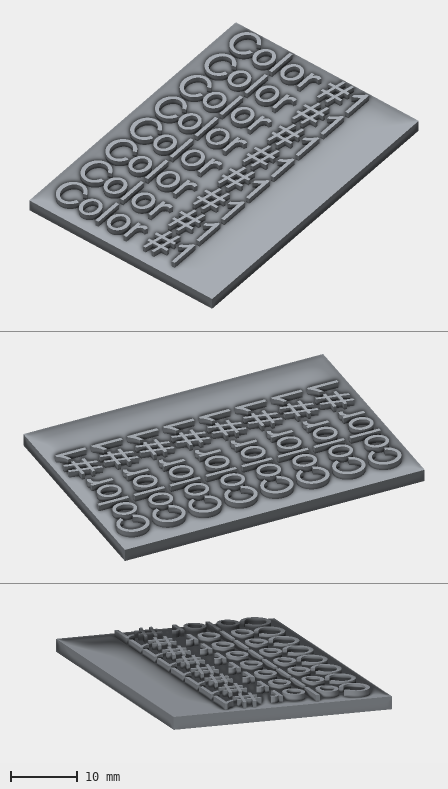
import cadquery as cq

plate_x = 35.0
plate_y = 50.0
plate_z = 2.0

letter_raise = 1.0
row_count = 8
row_pitch = 6.0
label_margin_x = 2.0
label_margin_y = 1.9
label_left = -plate_x / 2 + label_margin_x
first_baseline = -plate_y / 2 + label_margin_y

cap_height = 5.0
stem_left = 0.45
stem_width = 0.6
round_overshoot = 0.05
word_gap = 1.6

wide_advance = 4.9
round_advance = 3.8
thin_advance = 1.55
r_advance = 2.3


def ring(center_x, center_y, outer_radii, inner_radii):
    """Raised elliptical ring; radii are (x, y) pairs."""
    plane = cq.Workplane("XY").center(center_x, center_y)
    outer = plane.ellipse(*outer_radii).extrude(letter_raise)
    inner = plane.ellipse(*inner_radii).extrude(letter_raise)
    return outer.cut(inner)


def raised_polygon(points):
    return cq.Workplane("XY").polyline(points).close().extrude(letter_raise)


def capital_c():
    center_x = 2.65
    center_y = cap_height / 2
    half_width = 2.3
    half_height = cap_height / 2 + round_overshoot
    side_width = 0.7
    crown_width = 0.55
    inner_radii = (half_width - side_width, half_height - crown_width)
    body = ring(center_x, center_y, (half_width, half_height), inner_radii)
    mouth = raised_polygon([(1.0, -0.65), (2.5, -1.0), (2.5, 1.15), (1.0, 0.8)])
    return body.cut(mouth.translate((center_x, center_y, 0)))


def small_o():
    center_x = 1.9
    half_width = 1.7
    half_height = 1.9
    side_width = 0.65
    crown_width = 0.5
    center_y = half_height - round_overshoot
    inner_radii = (half_width - side_width, half_height - crown_width)
    return ring(center_x, center_y, (half_width, half_height), inner_radii)


def small_l():
    stem = cq.Workplane("XY").box(stem_width, cap_height, letter_raise, centered=False)
    return stem.translate((stem_left, 0, 0))


def small_r():
    stem_right = stem_left + stem_width
    stem_top = 3.6
    shoulder_x = 1.0
    return (
        cq.Workplane("XY")
        .moveTo(stem_left, 0)
        .lineTo(stem_left, stem_top)
        .lineTo(shoulder_x, stem_top)
        .lineTo(shoulder_x, 3.05)
        .threePointArc((1.4, 3.55), (1.8, 3.7))
        .threePointArc((2.1, 3.65), (2.4, 3.5))
        .lineTo(2.2, 2.9)
        .threePointArc((2.0, 3.0), (1.75, 3.05))
        .threePointArc((1.25, 2.7), (stem_right, 1.9))
        .lineTo(stem_right, 0)
        .close()
        .extrude(letter_raise)
    )


def number_sign():
    bar_left = 0.05
    bar_length = 3.75
    bar_width = 0.5
    stroke_bottom = -round_overshoot
    stroke_top = cap_height + 0.05
    stroke_width = 0.5
    stroke_lean = 1.05
    sign = cq.Workplane("XY")
    for bar_bottom in (1.35, 3.1):
        bar = cq.Workplane("XY").box(bar_length, bar_width, letter_raise, centered=False)
        sign = sign.add(bar.translate((bar_left, bar_bottom, 0)))
    for stroke_left in (0.35, 1.95):
        stroke_right = stroke_left + stroke_width
        stroke = raised_polygon([
            (stroke_left, stroke_bottom),
            (stroke_right, stroke_bottom),
            (stroke_right + stroke_lean, stroke_top),
            (stroke_left + stroke_lean, stroke_top),
        ])
        sign = sign.add(stroke)
    return sign.combine()


def digit_one():
    stem_start = 2.0
    stem_end = stem_start + stem_width
    flag_left = 0.75
    return (
        cq.Workplane("XY")
        .moveTo(stem_start, 0)
        .lineTo(stem_end, 0)
        .lineTo(stem_end, cap_height)
        .lineTo(2.2, cap_height)
        .threePointArc((1.65, 4.35), (flag_left, 3.75))
        .lineTo(flag_left, 3.15)
        .threePointArc((1.4, 3.45), (stem_start, 3.9))
        .close()
        .extrude(letter_raise)
    )


def label():
    """One row of lettering, starting at X = 0 with its baseline on Y = 0."""
    characters = [
        (capital_c(), wide_advance),
        (small_o(), round_advance),
        (small_l(), thin_advance),
        (small_o(), round_advance),
        (small_r(), r_advance + word_gap),
        (number_sign(), round_advance),
        (digit_one(), round_advance),
    ]
    row = cq.Workplane("XY")
    start_x = 0
    for character, advance in characters:
        row = row.add(character.translate((start_x, 0, 0)))
        start_x += advance
    return row.combine()


result = cq.Workplane("XY").box(plate_x, plate_y, plate_z, centered=(True, True, False))
label_row = label()
for row_index in range(row_count):
    baseline = first_baseline + row_index * row_pitch
    result = result.union(label_row.translate((label_left, baseline, plate_z)))